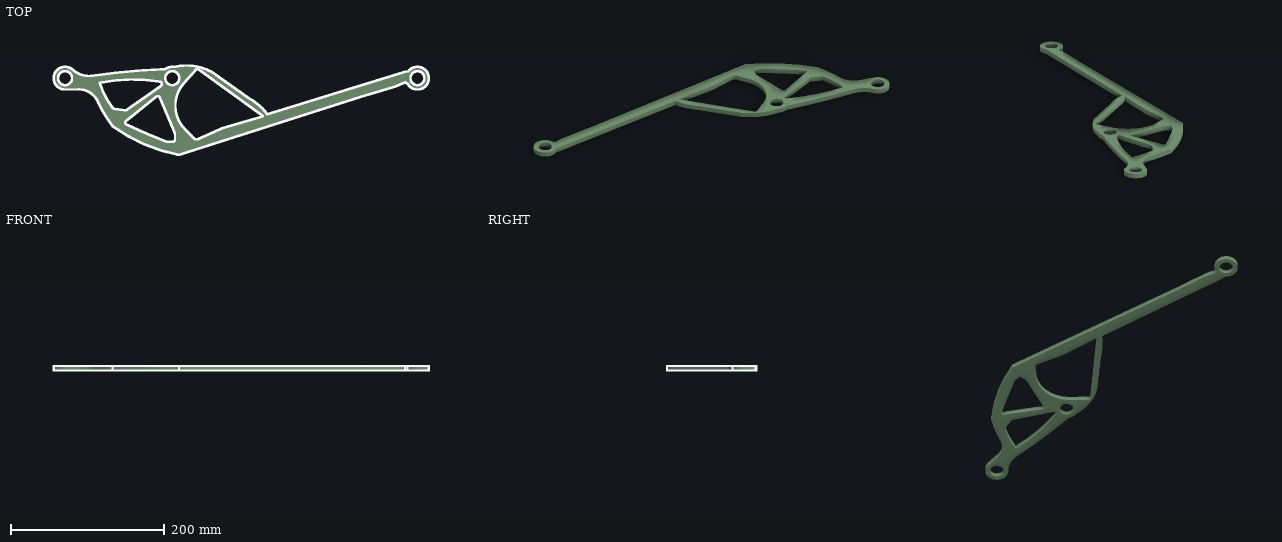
import cadquery as cq

THICKNESS = 6.3
HOLE_DIAMETER = 18.0
EYE_DIAMETER = 30.0
PIVOT_X = 140.0
RIGHT_EYE_X = 460.0
EYE_CENTRES = [(0.0, 0.0), (PIVOT_X, 0.0), (RIGHT_EYE_X, 0.0)]
EYE_RADIUS = EYE_DIAMETER / 2
ARM_TOP_Y = 9.0

WEB_OUTLINE = [
    (0.0, 0.0, 0, 0),
    (9.8, 11.4, 0, -2.9),
    (35.0, 3.2, 0, 1.3),
    (131.0, 12.0, 0, 0),
    (143.0, 15.0, 0, 4.6),
    (192.0, 8.0, 0, 0),
    (239.5, -25.8, 0, 0.5),
    (254.0, -36.0, 0, 0.5),
    (264.0, -47.0, 0, 0),
    (445.5, ARM_TOP_Y, 0, 0),
    (RIGHT_EYE_X, ARM_TOP_Y, 0, 0),
    (RIGHT_EYE_X, 0.0, 0, 0),
    (447.0, -7.5, 0, 0),
    (444.0, -5.5, 0, 0),
    (431.5, -11.0, 0, 0),
    (385.0, -24.9, 0, 0),
    (148.5, -100.4, 0, 5.2),
    (62.0, -62.8, 0, 1.0),
    (42.0, -29.5, 0, -4.9),
    (15.0, -EYE_RADIUS, 0, 0),
    (0.0, -EYE_RADIUS, 0, 0),
]

UPPER_POCKET = [
    (45.5, -6.2, 0, 4.2),
    (131.0, -6.0, 3.0, 0),
    (79.5, -42.0, 4.0, 0),
    (63.0, -39.7, 4.0, 1.7),
]

LOWER_POCKET = [
    (122.1, -22.0, 2.5, 0),
    (143.3, -72.0, 10.0, 0),
    (143.3, -83.0, 3.0, 0),
    (133.0, -83.0, 6.0, 0.7),
    (76.5, -58.5, 2.5, 0),
]

FRONT_POCKET = [
    (172.5, 12.6, 2.5, 0),
    (258.5, -49.7, 0, 0),
    (206.0, -64.9, 40.0, 0),
    (170.5, -80.8, 4.0, 0),
    (153.8, -63.5, 0, 10.0),
    (154.5, -7.5, 0, 0),
]


def plate(outline):
    """Extrude a closed outline of corners to the plate thickness and round its corners."""
    first_x, first_y = outline[0][:2]
    sketch = cq.Workplane("XY").moveTo(first_x, first_y)
    following = outline[1:] + outline[:1]
    for corner, next_corner in zip(outline, following):
        bulge = corner[3]
        end = next_corner[:2]
        if bulge:
            sketch = sketch.sagittaArc(end, bulge)
        else:
            sketch = sketch.lineTo(*end)
    body = sketch.close().extrude(THICKNESS)
    for x, y, radius, _ in outline:
        if radius:
            corner_edge = cq.NearestToPointSelector((x, y, THICKNESS / 2))
            body = body.edges("|Z").edges(corner_edge).fillet(radius)
    return body


def discs(diameter):
    """Discs of one diameter at every eye centre."""
    return cq.Workplane("XY").pushPoints(EYE_CENTRES).circle(diameter / 2).extrude(THICKNESS)


body = plate(WEB_OUTLINE).union(discs(EYE_DIAMETER))
for pocket in (UPPER_POCKET, LOWER_POCKET, FRONT_POCKET):
    body = body.cut(plate(pocket))

result = body.cut(discs(HOLE_DIAMETER))